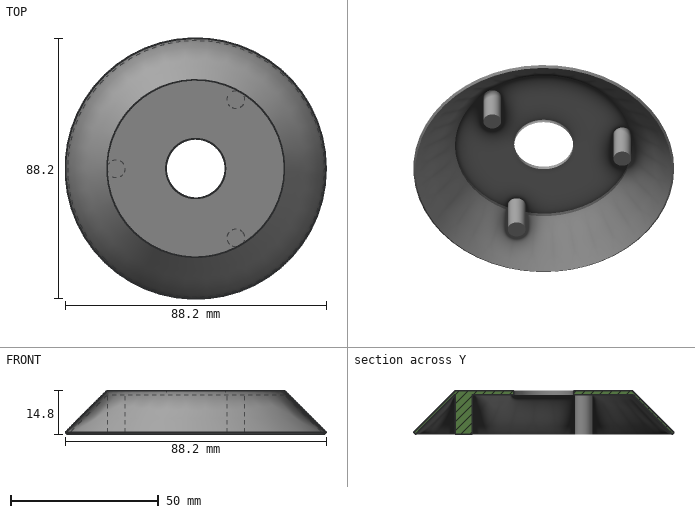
import cadquery as cq

rim_radius = 44.1
top_radius = 30.0
edge_step = 0.7
hole_diameter = 20.0
pin_diameter = 6.0
pin_count = 3
first_pin_angle = 60.0

plate_thickness = 2 * edge_step
cone_height = rim_radius - top_radius
height = cone_height + edge_step
ceiling = height - plate_thickness

pin_circle_radius = top_radius - pin_diameter / 2


def make_shell():
    """Hollow 45 degree dish with a central hole in its flat top."""
    hole_radius = hole_diameter / 2
    profile = [
        (hole_radius, height),
        (top_radius, height),
        (rim_radius, edge_step),
        (rim_radius - edge_step, 0),
        (top_radius, ceiling),
        (hole_radius, ceiling),
    ]
    return cq.Workplane("XZ").polyline(profile).close().revolve(360, (0, 0), (0, 1))


def make_pins():
    """Pins from the base plane up into the flat top, evenly spaced around the hole."""
    pin_length = ceiling + plate_thickness / 2
    return (
        cq.Workplane("XY")
        .polarArray(pin_circle_radius, first_pin_angle, 360, pin_count)
        .circle(pin_diameter / 2)
        .extrude(pin_length)
    )


result = make_shell().union(make_pins())